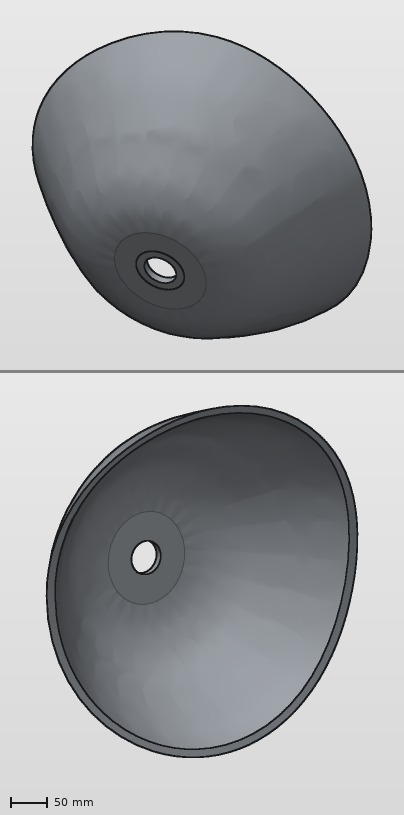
import cadquery as cq
import math

wall = 6.0
floor = 12.0
drain_diameter = 47.0
seat_diameter = 71.0
seat_depth = 0.5

rim_radius = 250
rim_top = 220
rim_middle = 159.5
rim_bottom = 179.5
trim_margin = 50
trim_width = 700
points_per_section = 24

sections = [
    (0, 67.5, 71.0, 71.0),
    (0.5, 79.0, 83.0, 83.0),
    (2.5, 92.5, 97.0, 97.0),
    (10, 114.0, 117.0, 119.0),
    (21.0, 134.0, 136.0, 140),
    (44.0, 160, 160, 166.0),
    (77.0, 189.0, 189.0, 193.5),
    (107.5, 212.5, 207.5, 216.0),
    (135, 233.0, 222.5, 233.5),
    (160, 250, 232.5, 243.0),
    (190, 262.0, 241.0, 253.0),
    (220, 263.0, 250, 257.5),
    (235, 263.0, 254.0, 260),
]


def section_wire(height, half_width, up, down):
    """Smooth closed oval made of an upper and a lower half ellipse."""
    points = []
    for i in range(points_per_section):
        angle = 2 * math.pi * i / points_per_section
        reach = up if math.sin(angle) > 0 else down
        points.append(cq.Vector(half_width * math.cos(angle), height, reach * math.sin(angle)))
    return cq.Wire.assembleEdges([cq.Edge.makeSpline(points, periodic=True)])


def bowl(inset, lift):
    """Solid bowl with every section drawn in by inset and raised by lift."""
    wires = [section_wire(y + lift, w - inset, u - inset, d - inset) for y, w, u, d in sections]
    return cq.Workplane(obj=cq.Solid.makeLoft(wires))


def rim_trim():
    """Everything beyond the curved rim, which is one arc in the YZ plane."""
    top = rim_radius + trim_margin
    far = rim_top + 2 * trim_margin
    return (
        cq.Workplane("YZ")
        .moveTo(rim_bottom, -rim_radius)
        .threePointArc((rim_middle, 0), (rim_top, rim_radius))
        .lineTo(rim_top, top)
        .lineTo(far, top)
        .lineTo(far, -top)
        .lineTo(rim_bottom, -top)
        .close()
        .extrude(trim_width / 2, both=True)
    )


def drain_cylinder(diameter, depth):
    """Cylinder on the drain axis rising from the base."""
    return cq.Workplane("XZ").circle(diameter / 2).extrude(-depth)


shell = bowl(0, 0).cut(bowl(wall, floor)).cut(rim_trim())
result = shell.cut(drain_cylinder(drain_diameter, rim_top)).cut(drain_cylinder(seat_diameter, seat_depth))